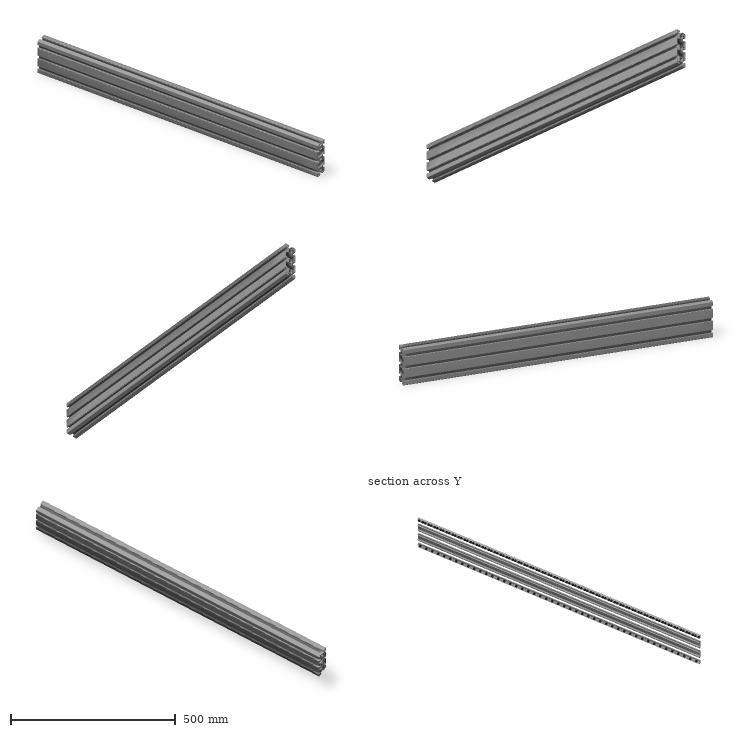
import cadquery as cq

length = 1000.0
width = 40.0
height = 120.0
slot_pitch = 40.0
corner_radius = 2.0

slot_opening = 10.0
recess_ledge = 1.1
recess_width = slot_opening + 2 * recess_ledge
recess_depth = 1.0
lip_thickness = 4.0
slot_inner_width = 20.0
slot_taper_depth = 7.0
slot_depth = 11.0
slot_floor_width = 17.0
slot_corner_radius = 1.0

core_hole_side = 12.0
core_hole_radius = 1.0
corner_hole_diameter = 5.0
corner_hole_inset = 4.0

cavity_wall = 2.0
cavity_width = width - 2 * cavity_wall
cavity_side_height = 16.0
cavity_height = 25.0
cavity_shoulder_width = 30.0
cavity_roof_width = 4.0
cavity_corner_radius = 2.0

end_overrun = 10.0
cutter_length = length + 2 * end_overrun

slot_heights = (-slot_pitch, 0, slot_pitch)
cavity_heights = (-slot_pitch / 2, slot_pitch / 2)
x_axis = ((0, 0, 0), (1, 0, 0))


def middle_plane():
    """Workplane across the middle of the bar, with its local axes along Y and Z."""
    return cq.Workplane("YZ")


def extrude_cutter(outline):
    """Extrude closed outlines both ways until they pass the ends of the bar."""
    return outline.extrude(cutter_length / 2, both=True)


def mirrored(half_outline):
    """Points of one side followed by their mirror images across the local vertical."""
    return half_outline + [(-y, z) for y, z in reversed(half_outline)]


def make_slot():
    """T-slot cutter opening towards +Z, with its mouth at Z = 0."""
    opening_side = [
        (recess_width / 2, 0),
        (recess_width / 2, -recess_depth),
        (slot_opening / 2, -recess_depth),
        (slot_opening / 2, -slot_taper_depth),
    ]
    opening = extrude_cutter(middle_plane().polyline(mirrored(opening_side)).close())
    undercut_side = [
        (slot_inner_width / 2, -lip_thickness),
        (slot_inner_width / 2, -slot_taper_depth),
        (slot_floor_width / 2, -slot_depth),
    ]
    undercut = extrude_cutter(middle_plane().polyline(mirrored(undercut_side)).close())
    return opening.union(undercut.edges("|X").fillet(slot_corner_radius))


def make_cavity():
    """Cavity cutter with a peaked roof and floor, centred on the X axis."""
    upper_side = [
        (cavity_width / 2, cavity_side_height / 2),
        (cavity_shoulder_width / 2, cavity_side_height / 2),
        (cavity_roof_width / 2, cavity_height / 2),
    ]
    upper_half = mirrored(upper_side)
    lower_half = [(-y, -z) for y, z in upper_half]
    cavity = extrude_cutter(middle_plane().polyline(upper_half + lower_half).close())
    return cavity.edges("|X and (<Y or >Y)").fillet(cavity_corner_radius)


body = middle_plane().rect(width, height).extrude(length / 2, both=True)
body = body.edges("|X").fillet(corner_radius)

slot = make_slot()
for turn in (0, 180):
    body = body.cut(slot.translate((0, 0, height / 2)).rotate(*x_axis, turn))

for turn in (90, -90):
    side_slot = slot.translate((0, 0, width / 2)).rotate(*x_axis, turn)
    for z in slot_heights:
        body = body.cut(side_slot.translate((0, 0, z)))

cavity = make_cavity()
for z in cavity_heights:
    body = body.cut(cavity.translate((0, 0, z)))

core_hole = extrude_cutter(middle_plane().rect(core_hole_side, core_hole_side))
core_hole = core_hole.edges("|X").fillet(core_hole_radius)
for z in slot_heights:
    body = body.cut(core_hole.translate((0, 0, z)))

corner_hole_outlines = (
    middle_plane()
    .rect(width - 2 * corner_hole_inset, height - 2 * corner_hole_inset, forConstruction=True)
    .vertices()
    .circle(corner_hole_diameter / 2)
)
result = body.cut(extrude_cutter(corner_hole_outlines))